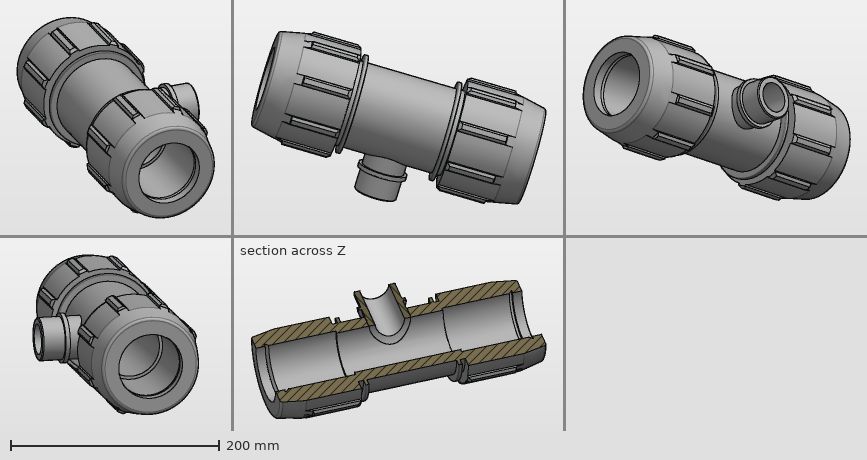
import cadquery as cq
length = 268.0
half_length = length / 2
pipe_diameter = 84.7
bore_diameter = 56.8
ring_diameter = 98.4
ring_thickness = 3.8
ring_edge_radius = 0.5
ring_gap = 4.8

nut_length = 80.5
nut_diameter = 105.3
nut_end_diameter = 95.1
nut_edge_radius = 3.0
nut_cone_length = 24.5

rib_count = 8
rib_start = 31.5
rib_width = 10.0
rib_top_width = 5.0
rib_height = 56.5
rib_edge_height = 54.1
rib_front_slant = 0.8
rib_back_bevel = 3.5

cone_slope = (nut_diameter - nut_end_diameter) / 2 / nut_cone_length
ramp_end_radius = nut_end_diameter / 2 + cone_slope * rib_start

socket_diameter = 63.0
socket_depth = nut_length
lip_thickness = 9.5
groove_width = 3.5

branch_diameter = 41.8
branch_bore_diameter = 29.2
branch_reach = 78.8
branch_edge_chamfer = 1.0
collar_diameter = 48.2
collar_start = 52.5
collar_thickness = 4.3


def x_cylinder(diameter, start, end):
    """Cylinder about the X axis."""
    return cq.Workplane("YZ").workplane(offset=start).circle(diameter / 2).extrude(end - start)


def y_cylinder(diameter, start, end):
    """Cylinder about the Y axis."""
    return cq.Workplane("XZ", origin=(0, start, 0)).circle(diameter / 2).extrude(start - end)


def x_revolve(points):
    """Solid of revolution about the X axis from a closed outline of (x, radius) points."""
    return cq.Workplane("XY").polyline(points).close().revolve(360, (0, 0, 0), (1, 0, 0))


def make_blank():
    """Turned nut blank, its outer end face at X = 0: the cone up to the rib fronts, then a wide cylinder."""
    blank_radius = rib_height + rib_width
    profile = [
        (0, 0),
        (0, nut_end_diameter / 2),
        (rib_start, ramp_end_radius),
        (rib_start, blank_radius),
        (nut_length, blank_radius),
        (nut_length, 0),
    ]
    return x_revolve(profile).faces("<X").edges().fillet(nut_edge_radius)


def make_rib():
    """Bar on the +Z side of the nut: bevelled along its sides and at both ends, with a block for the ramp."""
    half_width = rib_width / 2
    half_top = rib_top_width / 2
    root = pipe_diameter / 2
    section = [
        (-half_width, root),
        (half_width, root),
        (half_width, rib_edge_height),
        (half_top, rib_height),
        (-half_top, rib_height),
        (-half_width, rib_edge_height),
    ]
    side_outline = [
        (rib_start, root),
        (rib_start, ramp_end_radius),
        (rib_start + rib_front_slant, rib_height),
        (nut_length - rib_back_bevel, rib_height),
        (nut_length, rib_edge_height),
        (nut_length, root),
    ]
    bar = cq.Workplane("YZ").polyline(section).close().extrude(nut_length)
    bevelled_ends = cq.Workplane("XZ").polyline(side_outline).close().extrude(half_width, both=True)
    ramp_block = (
        cq.Workplane("XY", origin=(0, 0, root))
        .box(rib_start, rib_width, rib_height - root, centered=(False, True, False))
    )
    return bar.intersect(bevelled_ends).union(ramp_block)


def make_nut():
    """Nut at the -X end: the blank is cut back to a cylinder everywhere but at its ribs."""
    outer_diameter = 2 * nut_diameter
    waste = x_cylinder(outer_diameter, 0, nut_length).cut(x_cylinder(nut_diameter, 0, nut_length))
    rib = make_rib()
    pitch = 360 / rib_count
    for i in range(rib_count):
        waste = waste.cut(rib.rotate((0, 0, 0), (1, 0, 0), (i + 0.5) * pitch))
    return make_blank().cut(waste).translate((-half_length, 0, 0))


def make_ring():
    """Rounded ring on the pipe, next to the nut at the -X end."""
    start = -half_length + nut_length + ring_gap
    return x_cylinder(ring_diameter, start, start + ring_thickness).edges().fillet(ring_edge_radius)


def make_socket():
    """Socket space at the -X end: its groove is square behind the lip and slopes back at 45 degrees."""
    radius = socket_diameter / 2
    groove_start = -half_length + lip_thickness
    groove_end = groove_start + groove_width
    socket_end = -half_length + socket_depth
    return x_revolve([
        (-half_length, 0),
        (-half_length, radius),
        (groove_start, radius),
        (groove_start, radius + groove_width),
        (groove_end, radius),
        (socket_end, radius),
        (socket_end, 0),
    ])


def make_run():
    """Pipe with both nuts and rings, bored through, with a hole in its wall for the branch."""
    pipe = x_cylinder(pipe_diameter, -half_length + nut_length, half_length - nut_length)
    run = pipe
    for part in (make_nut(), make_ring()):
        run = run.union(part).union(part.mirror("YZ"))
    run = run.cut(x_cylinder(bore_diameter, -half_length, half_length))
    socket = make_socket()
    run = run.cut(socket).cut(socket.mirror("YZ"))
    return run.cut(y_cylinder(branch_diameter, 0, pipe_diameter))


def make_branch():
    """Branch pipe that passes through the wall of the run and ends flush with its bore."""
    pipe = y_cylinder(branch_diameter, 0, branch_reach).faces(">Y").edges().chamfer(branch_edge_chamfer)
    collar = y_cylinder(collar_diameter, collar_start, collar_start + collar_thickness)
    branch = pipe.union(collar).cut(y_cylinder(branch_bore_diameter, 0, branch_reach))
    return branch.cut(x_cylinder(bore_diameter, -half_length, half_length))


run = make_run()
branch = make_branch()
result = cq.Compound.makeCompound([run.val(), branch.val()])